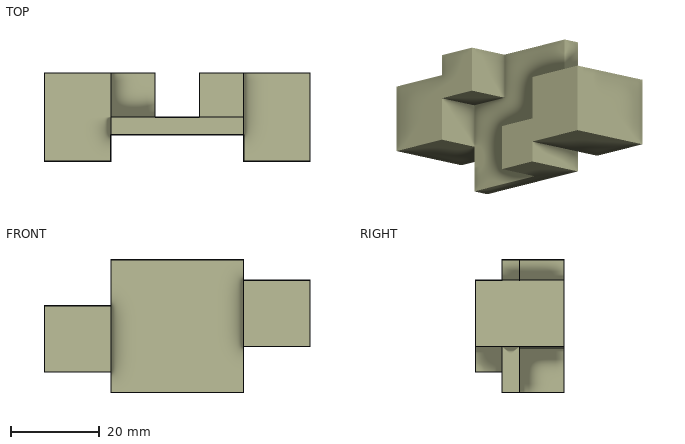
import cadquery as cq

plate_side = 30.0
plate_thickness = 4.0
end_block_depth = 60.0 / 3
end_block_offset = 2.9

end_block_side = plate_side / 2
corner_cube_side = end_block_depth / 2
end_block_center_x = (plate_side + end_block_side) / 2
corner_cube_center = (plate_side - corner_cube_side) / 2


def make_plate():
    """Square upright plate whose back face lies on Y = 0."""
    plate = cq.Workplane("XY").box(plate_side, plate_thickness, plate_side)
    return plate.translate((0, -plate_thickness / 2, 0))


def make_end_block(side):
    """Block against one X edge of the plate: lowered at -1, raised at +1."""
    block = cq.Workplane("XY").box(end_block_side, end_block_depth, end_block_side)
    return block.translate((side * end_block_center_x, 0, side * end_block_offset))


def make_corner_cube(side):
    """Cube on the back of the plate: lower -X corner at -1, upper +X corner at +1."""
    cube = cq.Workplane("XY").box(corner_cube_side, corner_cube_side, corner_cube_side)
    return cube.translate((side * corner_cube_center, corner_cube_side / 2, side * corner_cube_center))


plate = make_plate()
end_blocks = [make_end_block(side) for side in (-1, 1)]
corner_cubes = [make_corner_cube(side) for side in (-1, 1)]

result = cq.Compound.makeCompound(
    [body.val() for body in [plate, *end_blocks, *corner_cubes]]
)